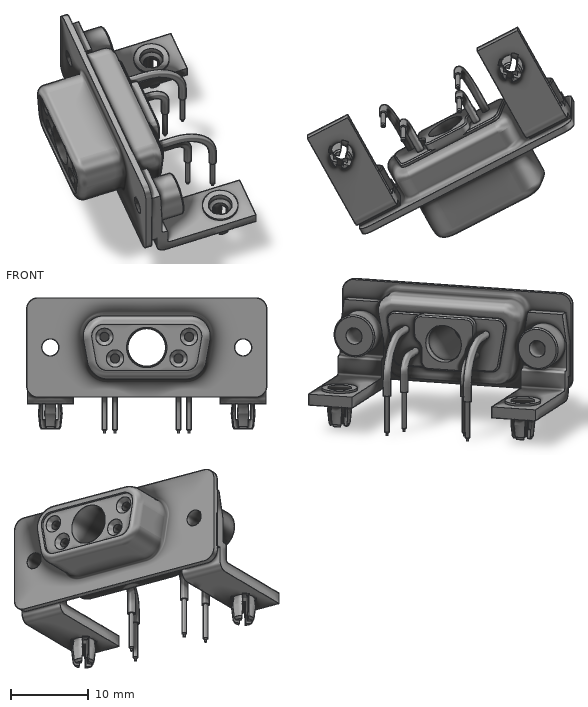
import cadquery as cq
import math


OVERALL_DEPTH = 21.6
OVERALL_HEIGHT = 17.55

PLATE_WIDTH = 31.2
PLATE_HEIGHT = 12.88
PLATE_THICKNESS = 0.8
PLATE_CORNER = 1.5

SIDE_TILT = math.radians(10)

FRONT_DEPTH = 6.3
FRONT_HALF_WIDTH = 8.02
FRONT_HALF_HEIGHT = 4.1
FRONT_CORNER = 2.62
FRONT_EDGE = 1.03
FRONT_FLARE = 0.47
FACE_INSET = 1.1
FACE_RECESS = 0.35

REAR_END = 4.87
REAR_HALF_WIDTH = 9.15
REAR_HALF_HEIGHT = 5.45
REAR_CORNER = 2.03
REAR_EDGE = 1.22
REAR_FLARE = 0.78

FLANGE_END = 5.35
FLANGE_HALF_WIDTH = 7.7
FLANGE_CORNER = 1.15
INSULATOR_HALF_HEIGHT = 3.6
BLOCK_END = 6.33
EMBED_START = 3.12
BLOCK_CORNER = 1.03
BLOCK_TOP_HALF_WIDTH = 4.12
BLOCK_BOTTOM_HALF_WIDTH = 3.12
BLOCK_CURVE_RADIUS = 1.25
INSULATOR_EDGE = 0.2

BORE_RADIUS = 2.62
BORE_REAR_RADIUS = 2.43
BORE_SHOULDER = 5.0
SOCKET_MOUTH_RADIUS = 1.12
SOCKET_RADIUS = 0.6
SOCKET_CONE = 0.53
SOCKET_DEPTH = 3.12

UPPER_X = 5.5
UPPER_Z = 1.37
LOWER_X = 4.12
LOWER_Z = -1.45
UPPER_BEND = 5.27
LOWER_BEND = 2.0
UPPER_DROP_Y = 13.1
LOWER_DROP_Y = 10.17
PIN_RADIUS = 0.5
PIN_TAIL_RADIUS = 0.3
PIN_TIP_RADIUS = 0.14
PIN_SHOULDER_Z = -10.65
PIN_TIP_CONE = 0.2
PIN_BOTTOM = PLATE_HEIGHT / 2 - OVERALL_HEIGHT

SIDE_X = 12.5
BRACKET_WIDTH = 5.95
BRACKET_TOP_WIDTH = 4.75
BRACKET_TOP = 4.05
BRACKET_BACK = OVERALL_DEPTH - FRONT_DEPTH
UPRIGHT_BACK = 2.28
JOG_FRONT = 1.6
JOG_BACK = 3.1
JOG_FRONT_Z = -4.3
JOG_BACK_Z = -3.35
FOOT_TOP = -5.85
FOOT_BOTTOM = -7.33
BEND_RADIUS = 1.2
INNER_BEND_RADIUS = 0.3
NUT_RADIUS = 2.78
NUT_END = 5.45
NUT_EDGE = 0.2
SCREW_HOLE_RADIUS = 1.1

LOCK_Y = 11.48
LOCK_RIM_RADIUS = 2.3
LOCK_RIM_TOP = FOOT_TOP + 0.28
LOCK_SLEEVE_RADIUS = 1.7
LOCK_MOUTH_RADIUS = 1.53
LOCK_MOUTH_FLOOR = -6.4
LOCK_CONE_END = -6.65
LOCK_BORE_RADIUS = 1.03
LOCK_BORE_END = -9.35
LOCK_SLOT_WIDTH = 0.87
LOCK_SLOT_TOP = -7.25
PRONG_NECK_RADIUS = 1.47
PRONG_NECK_Z = -7.52
PRONG_WIDEST_RADIUS = 1.55
PRONG_WIDEST_Z = -8.6
PRONG_TOE_RADIUS = 1.37
PRONG_TOE_Z = -10.23
PRONG_TIP_RADIUS = 1.2
PRONG_BOTTOM = -10.57


def prism(sketch_at, y_start, y_end):
    """Extrude an outline drawn in XZ from y_start to y_end."""
    plane = cq.Workplane("XZ", origin=(0, y_start, 0))
    return sketch_at(plane).extrude(y_start - y_end)


def cylinder_y(x, z, radius, y_start, y_end):
    return prism(lambda plane: plane.center(x, z).circle(radius), y_start, y_end)


def d_body(half_width, half_height, corner, y_start, y_end):
    """Rounded trapezoid, wider at the top, running along Y."""
    lean = half_height * math.tan(SIDE_TILT)
    corners = [
        (-half_width - lean, half_height),
        (half_width + lean, half_height),
        (half_width - lean, -half_height),
        (-half_width + lean, -half_height),
    ]
    body = prism(lambda plane: plane.polyline(corners).close(), y_start, y_end)
    return body.edges("|Y").fillet(corner)


def root_edges(y, half_x, half_z):
    """Selector for the edges where a shell meets the plate face at y."""
    reach = PLATE_THICKNESS / 4
    return cq.selectors.BoxSelector((-half_x, y - reach, -half_z), (half_x, y + reach, half_z))


def make_shells():
    plate = cq.Workplane("XY").box(PLATE_WIDTH, PLATE_THICKNESS, PLATE_HEIGHT)
    plate = plate.translate((0, PLATE_THICKNESS / 2, 0)).edges("|Y").fillet(PLATE_CORNER)

    front = d_body(FRONT_HALF_WIDTH, FRONT_HALF_HEIGHT, FRONT_CORNER, PLATE_THICKNESS, -FRONT_DEPTH)
    front = front.faces("<Y").edges().fillet(FRONT_EDGE)
    recess = d_body(
        FRONT_HALF_WIDTH - FACE_INSET / math.cos(SIDE_TILT),
        FRONT_HALF_HEIGHT - FACE_INSET,
        FRONT_CORNER - FACE_INSET,
        -FRONT_DEPTH,
        -FRONT_DEPTH + FACE_RECESS,
    )
    front = front.cut(recess)

    rear = d_body(REAR_HALF_WIDTH, REAR_HALF_HEIGHT, REAR_CORNER, 0, REAR_END)
    rear = rear.faces(">Y").edges().fillet(REAR_EDGE)

    body = plate.union(front).union(rear)
    half_x = SIDE_X
    half_z = (REAR_HALF_HEIGHT + PLATE_HEIGHT / 2) / 2
    body = body.edges(root_edges(0, half_x, half_z)).fillet(FRONT_FLARE)
    return body.edges(root_edges(PLATE_THICKNESS, half_x, half_z)).fillet(REAR_FLARE)


def block_outline(plane):
    """Block outline whose sides narrow downward through an S made of two equal arcs."""
    half_step = (BLOCK_TOP_HALF_WIDTH - BLOCK_BOTTOM_HALF_WIDTH) / 2
    sweep = math.acos(1 - half_step / BLOCK_CURVE_RADIUS)
    curve_z = BLOCK_CURVE_RADIUS * math.sin(sweep)
    bulge_x = BLOCK_CURVE_RADIUS * (1 - math.cos(sweep / 2))
    bulge_z = curve_z - BLOCK_CURVE_RADIUS * math.sin(sweep / 2)
    top = BLOCK_TOP_HALF_WIDTH
    bottom = BLOCK_BOTTOM_HALF_WIDTH
    middle = bottom + half_step
    height = INSULATOR_HALF_HEIGHT
    return (
        plane.moveTo(-top, height)
        .lineTo(top, height)
        .lineTo(top, curve_z)
        .threePointArc((top - bulge_x, bulge_z), (middle, 0))
        .threePointArc((bottom + bulge_x, -bulge_z), (bottom, -curve_z))
        .lineTo(bottom, -height)
        .lineTo(-bottom, -height)
        .lineTo(-bottom, -curve_z)
        .threePointArc((-bottom - bulge_x, -bulge_z), (-middle, 0))
        .threePointArc((-top + bulge_x, bulge_z), (-top, curve_z))
        .close()
    )


def make_insulator():
    flange = d_body(FLANGE_HALF_WIDTH, INSULATOR_HALF_HEIGHT, FLANGE_CORNER, EMBED_START, FLANGE_END)
    flange = flange.faces(">Y").edges().chamfer(INSULATOR_EDGE)
    block = prism(block_outline, EMBED_START, BLOCK_END)
    corners = block.edges("|Y and (>Z or <Z)")
    block = corners.fillet(BLOCK_CORNER).faces(">Y").edges().chamfer(INSULATOR_EDGE)
    return flange.union(block)


def make_bore():
    front = cylinder_y(0, 0, BORE_RADIUS, -FRONT_DEPTH, BORE_SHOULDER)
    return front.union(cylinder_y(0, 0, BORE_REAR_RADIUS, BORE_SHOULDER, BLOCK_END))


def make_socket(x, z):
    """Blind contact hole with a conical mouth."""
    face_y = -FRONT_DEPTH + FACE_RECESS
    profile = [
        (0, face_y),
        (SOCKET_MOUTH_RADIUS, face_y),
        (SOCKET_RADIUS, face_y + SOCKET_CONE),
        (SOCKET_RADIUS, face_y + SOCKET_DEPTH),
        (0, face_y + SOCKET_DEPTH),
    ]
    socket = cq.Workplane("XY").polyline(profile).close().revolve(360, (0, 0), (0, 1))
    return socket.translate((x, 0, z))


def make_pin(x, z, drop_y, bend):
    """Bent round pin with a thinner, stepped solder tail."""
    mid_bend = bend * math.sin(math.radians(45))
    bend_y = drop_y - bend
    path = (
        cq.Workplane("YZ", origin=(x, 0, 0))
        .moveTo(EMBED_START, z)
        .lineTo(bend_y, z)
        .threePointArc((bend_y + mid_bend, z - bend + mid_bend), (drop_y, z - bend))
        .lineTo(drop_y, FOOT_TOP)
    )
    section = cq.Workplane("XZ", origin=(x, EMBED_START, z)).circle(PIN_RADIUS)
    rod = section.sweep(path)
    tail_profile = [
        (0, FOOT_TOP),
        (PIN_TAIL_RADIUS, FOOT_TOP),
        (PIN_TAIL_RADIUS, PIN_SHOULDER_Z),
        (PIN_TIP_RADIUS, PIN_SHOULDER_Z - PIN_TIP_CONE),
        (PIN_TIP_RADIUS, PIN_BOTTOM),
        (0, PIN_BOTTOM),
    ]
    tail = cq.Workplane("XZ").polyline(tail_profile).close().revolve(360, (0, 0), (0, 1))
    return rod.union(tail.translate((x, drop_y, 0)))


def make_bracket():
    """Bent bracket with its threaded nut, centred on X = 0."""
    profile = [
        (PLATE_THICKNESS, BRACKET_TOP),
        (UPRIGHT_BACK, BRACKET_TOP),
        (UPRIGHT_BACK, JOG_BACK_Z),
        (JOG_BACK, JOG_BACK_Z),
        (JOG_BACK, FOOT_TOP),
        (BRACKET_BACK, FOOT_TOP),
        (BRACKET_BACK, FOOT_BOTTOM),
        (JOG_FRONT, FOOT_BOTTOM),
        (JOG_FRONT, JOG_FRONT_Z),
        (PLATE_THICKNESS, JOG_FRONT_Z),
    ]
    strip = cq.Workplane("YZ").polyline(profile).close().extrude(BRACKET_WIDTH / 2, both=True)

    rounded_corners = [
        (JOG_FRONT, FOOT_BOTTOM, BEND_RADIUS),
        (JOG_BACK, FOOT_TOP, INNER_BEND_RADIUS),
        (JOG_BACK, JOG_BACK_Z, INNER_BEND_RADIUS),
        (UPRIGHT_BACK, JOG_BACK_Z, INNER_BEND_RADIUS),
    ]
    for y, z, radius in rounded_corners:
        corner = cq.selectors.NearestToPointSelector((0, y, z))
        strip = strip.edges("|X").edges(corner).fillet(radius)

    half = BRACKET_WIDTH / 2
    for side in (-1, 1):
        wedge = [
            (side * half, 0),
            (side * half, BRACKET_TOP),
            (side * BRACKET_TOP_WIDTH / 2, BRACKET_TOP),
        ]
        strip = strip.cut(prism(lambda plane: plane.polyline(wedge).close(), 0, UPRIGHT_BACK))

    nut = cylinder_y(0, 0, NUT_RADIUS, PLATE_THICKNESS, NUT_END).faces(">Y").edges().chamfer(NUT_EDGE)
    sleeve_hole = (
        cq.Workplane("XY", origin=(0, LOCK_Y, FOOT_BOTTOM))
        .circle(LOCK_SLEEVE_RADIUS)
        .extrude(FOOT_TOP - FOOT_BOTTOM)
    )
    return strip.union(nut).cut(sleeve_hole)


def make_board_lock():
    """Flanged sleeve ending in four springy prongs parted by diagonal slots."""
    body = (
        cq.Workplane("XZ")
        .moveTo(0, LOCK_RIM_TOP)
        .lineTo(LOCK_RIM_RADIUS, LOCK_RIM_TOP)
        .lineTo(LOCK_RIM_RADIUS, FOOT_TOP)
        .lineTo(LOCK_SLEEVE_RADIUS, FOOT_TOP)
        .lineTo(LOCK_SLEEVE_RADIUS, FOOT_BOTTOM)
        .lineTo(PRONG_NECK_RADIUS, FOOT_BOTTOM)
        .lineTo(PRONG_NECK_RADIUS, PRONG_NECK_Z)
        .lineTo(PRONG_WIDEST_RADIUS, PRONG_WIDEST_Z)
        .lineTo(PRONG_TOE_RADIUS, PRONG_TOE_Z)
        .lineTo(PRONG_TIP_RADIUS, PRONG_BOTTOM)
        .lineTo(0, PRONG_BOTTOM)
        .close()
        .revolve(360, (0, 0), (0, 1))
    )
    cavity_profile = [
        (0, LOCK_RIM_TOP),
        (LOCK_MOUTH_RADIUS, LOCK_RIM_TOP),
        (LOCK_MOUTH_RADIUS, LOCK_MOUTH_FLOOR),
        (LOCK_BORE_RADIUS, LOCK_CONE_END),
        (LOCK_BORE_RADIUS, LOCK_BORE_END),
        (0, LOCK_BORE_END),
    ]
    cavity = cq.Workplane("XZ").polyline(cavity_profile).close().revolve(360, (0, 0), (0, 1))
    body = body.cut(cavity)
    for angle in (45, 135):
        slot = (
            cq.Workplane("XY", origin=(0, 0, PRONG_BOTTOM))
            .rect(2 * LOCK_SLEEVE_RADIUS, LOCK_SLOT_WIDTH)
            .extrude(LOCK_SLOT_TOP - PRONG_BOTTOM)
            .rotate((0, 0, 0), (0, 0, 1), angle)
        )
        body = body.cut(slot)
    return body.translate((0, LOCK_Y, 0))


result = make_shells().union(make_insulator()).cut(make_bore())

for side in (-1, 1):
    result = result.cut(make_socket(side * UPPER_X, UPPER_Z)).cut(make_socket(side * LOWER_X, LOWER_Z))
    result = result.union(make_pin(side * UPPER_X, UPPER_Z, UPPER_DROP_Y, UPPER_BEND))
    result = result.union(make_pin(side * LOWER_X, LOWER_Z, LOWER_DROP_Y, LOWER_BEND))

mount = make_bracket().union(make_board_lock())
for side in (-1, 1):
    result = result.union(mount.translate((side * SIDE_X, 0, 0)))
    result = result.cut(cylinder_y(side * SIDE_X, 0, SCREW_HOLE_RADIUS, 0, NUT_END))